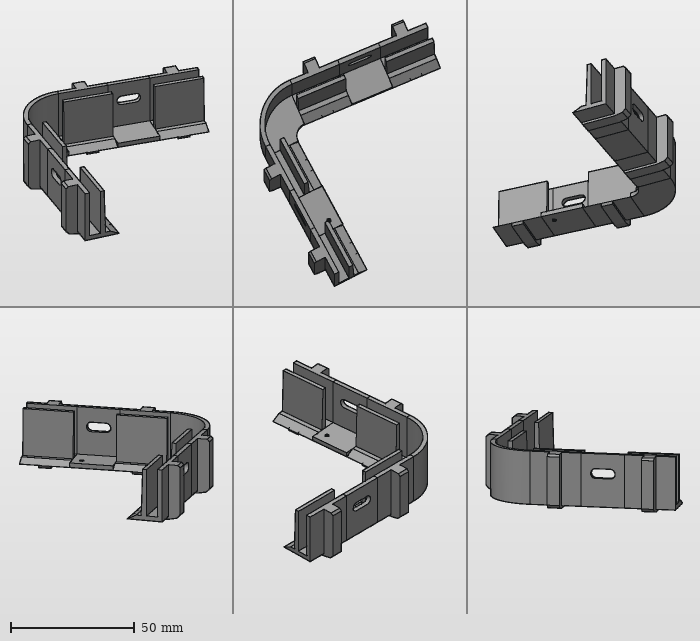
import cadquery as cq
import math


overall_depth = 86.4
lean_angle = 4.5
inside_angle = 90 - lean_angle

clip_length = 21.0
middle_length = 18.0
leg_length = 2 * clip_length + middle_length

leg_width = 14.95
wall_height = 22.0
thickness = 2.0

hook_width = 5.0
hook_reach = 5.0
hook_drop = 1.1
hook_top_chamfer = 0.95
hook_toe_chamfer = 1.4
hook_toe_height = 1.0
hook_end_inset = 0.6

plate_outer = 6.65
plate_top_inner = 8.4
plate_base_inner = 9.0
ramp_start = 11.1
plate_top = 21.6

slot_length = 10.0
slot_height = 4.0
slot_center_height = 13.8

disc_hole_diameter = 1.6
disc_diameter = 0.8
disc_along_leg = 35.0
disc_from_wall = 10.5

lean = math.radians(lean_angle)
outer_radius = (overall_depth - hook_reach - leg_length * math.cos(lean)) / (1 + math.sin(lean))
wall_inner_radius = outer_radius - thickness
floor_inner_radius = outer_radius - leg_width
clip_starts = [0, clip_length + middle_length]
disc_center = (disc_along_leg, disc_from_wall - outer_radius)


def extrude_section(points, start, length):
    """Extrude (distance from the wall's outer face, height) points along the first leg."""
    outline = [(distance - outer_radius, height) for distance, height in points]
    return cq.Workplane("YZ", origin=(start, 0, 0)).polyline(outline).close().extrude(length)


def make_hook(clip_start):
    start = clip_start + (clip_length - hook_width) / 2
    outline = [
        (thickness, wall_height),
        (hook_top_chamfer - hook_reach, wall_height),
        (-hook_reach, wall_height - hook_top_chamfer),
        (-hook_reach, hook_toe_height),
        (hook_toe_chamfer - hook_reach, hook_toe_height - hook_toe_chamfer),
        (0, -hook_drop),
        (leg_width - hook_end_inset, -hook_drop),
        (leg_width, 0),
        (thickness, 0),
    ]
    return extrude_section(outline, start, hook_width)


def make_clip_section(start):
    """Channel with an upright plate, a ramp down to the inner edge, and a hook outside."""
    outline = [
        (0, 0),
        (0, wall_height),
        (thickness, wall_height),
        (thickness, thickness),
        (plate_outer, thickness),
        (plate_outer, plate_top),
        (plate_top_inner, plate_top),
        (plate_base_inner, thickness),
        (ramp_start, thickness),
        (leg_width, 0),
    ]
    return extrude_section(outline, start, clip_length).union(make_hook(start))


def make_middle_section():
    """Plain L-shaped channel with a slot through its wall."""
    outline = [
        (0, 0),
        (0, wall_height),
        (thickness, wall_height),
        (thickness, thickness),
        (leg_width, thickness),
        (leg_width, 0),
    ]
    slot = (
        cq.Workplane("XZ", origin=(leg_length / 2, -outer_radius, slot_center_height))
        .slot2D(slot_length, slot_height)
        .extrude(-thickness)
    )
    return extrude_section(outline, clip_length, middle_length).cut(slot)


def make_disc(diameter):
    return cq.Workplane("XY").center(*disc_center).circle(diameter / 2).extrude(thickness)


def make_corner():
    """L-shaped channel swept round the bend axis from the second leg to the first."""
    outline = [
        (-outer_radius, 0),
        (-outer_radius, wall_height),
        (-wall_inner_radius, wall_height),
        (-wall_inner_radius, thickness),
        (-floor_inner_radius, thickness),
        (-floor_inner_radius, 0),
    ]
    sweep_angle = 180 - inside_angle
    return (
        cq.Workplane("YZ")
        .polyline(outline)
        .close()
        .revolve(sweep_angle, (0, 0, 0), (0, -1, 0))
    )


def place_on_second_leg(section):
    return section.mirror("XZ").rotate((0, 0, 0), (0, 0, 1), inside_angle)


corner = make_corner()

first_leg_clips = [make_clip_section(start) for start in clip_starts]
second_leg_clips = [place_on_second_leg(clip) for clip in first_leg_clips]

plain_middle = make_middle_section()
first_leg_middle = plain_middle.cut(make_disc(disc_hole_diameter))
second_leg_middle = place_on_second_leg(plain_middle)

loose_disc = make_disc(disc_diameter)

bodies = [corner, *first_leg_clips, *second_leg_clips, first_leg_middle, second_leg_middle, loose_disc]
result = cq.Compound.makeCompound([body.val() for body in bodies])